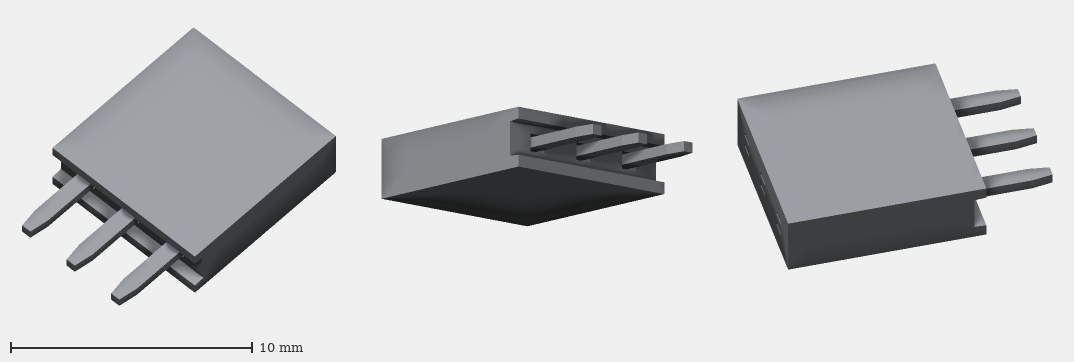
import cadquery as cq

total_length = 11.71
pitch = 2.54
pin_count = 3
housing_width = 8.13
housing_height = pitch
pin_overhang = 3.2
recess_depth = 0.52
recess_mouth_height = 1.53
recess_floor_height = 1.46
pin_width = 0.75
pin_thickness = 0.43
tip_width = 0.47
tip_length = 0.91

tip_y = -total_length / 2
back_y = total_length / 2
lip_y = tip_y + pin_overhang
recess_floor_y = lip_y + recess_depth
housing_length = back_y - lip_y
hole_size = pin_width
pin_places = [(i - (pin_count - 1) / 2) * pitch for i in range(pin_count)]


def make_housing():
    """Block with a flared front recess and one square through hole per pin."""
    block = cq.Workplane("XY").box(housing_width, housing_length, housing_height)
    block = block.translate((0, (lip_y + back_y) / 2, 0))
    recess = (
        cq.Workplane("YZ")
        .polyline([
            (lip_y, -recess_mouth_height / 2),
            (recess_floor_y, -recess_floor_height / 2),
            (recess_floor_y, recess_floor_height / 2),
            (lip_y, recess_mouth_height / 2),
        ])
        .close()
        .extrude(housing_width / 2, both=True)
    )
    holes = (
        cq.Workplane("XZ", origin=(0, back_y, 0))
        .pushPoints([(x, 0) for x in pin_places])
        .rect(hole_size, hole_size)
        .extrude(housing_length)
    )
    return block.cut(recess).cut(holes)


def make_pin(x):
    """Flat pin running from the housing back to a tip tapered in width."""
    return (
        cq.Workplane("XY")
        .polyline([
            (-pin_width / 2, back_y),
            (-pin_width / 2, tip_y + tip_length),
            (-tip_width / 2, tip_y),
            (tip_width / 2, tip_y),
            (pin_width / 2, tip_y + tip_length),
            (pin_width / 2, back_y),
        ])
        .close()
        .extrude(pin_thickness / 2, both=True)
        .translate((x, 0, 0))
    )


housing = make_housing()
pins = [make_pin(x).val() for x in pin_places]

result = cq.Compound.makeCompound([housing.val(), *pins])